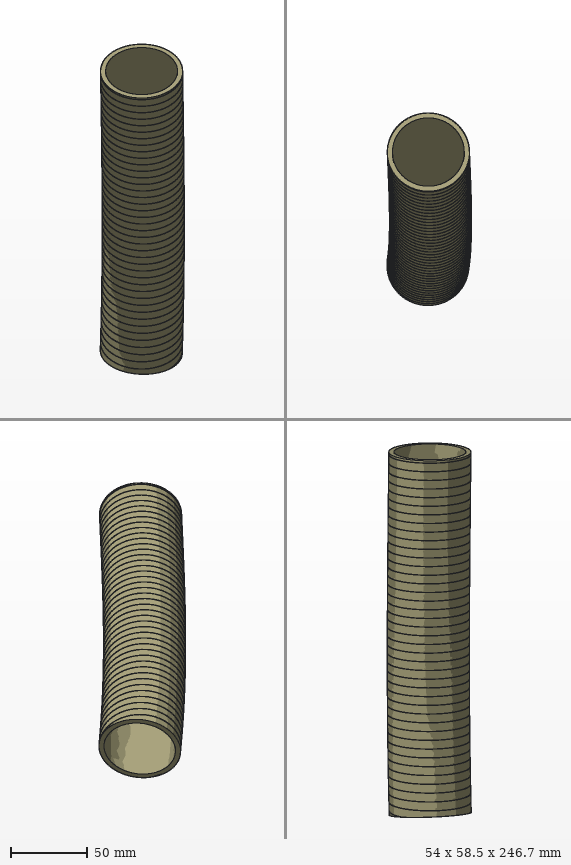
import cadquery as cq

height = 246.7
outer_dia = 54.0
wall = 3.5
bore_dia = outer_dia - 2 * wall

top_y = 0.0
bottom_y = -1.2
top_slope = -0.04
bottom_slope = 0.105

groove_count = 42
top_groove_z = height - 1.6
bottom_groove_z = 5.7
groove_width = 0.2
groove_depth = 0.12

bottom_tilt = 7.9

loft_sections = 9
overrun = 12.3


def centre_y(z):
    """Cubic centreline that meets the end positions and end slopes."""
    t = z / height
    rise = top_y - bottom_y
    bottom_bend = bottom_slope * height - rise
    top_bend = rise - top_slope * height
    return bottom_y + rise * t + t * (1 - t) * (bottom_bend * (1 - t) + top_bend * t)


def bowed_rod(diameter):
    """Rod with level circular sections that follows the centreline past the bottom end."""
    step = (height + overrun) / (loft_sections - 1)
    levels = [height - i * step for i in range(loft_sections)]
    up = cq.Vector(0, 0, 1)
    sections = [
        cq.Wire.makeCircle(diameter / 2, cq.Vector(0, centre_y(z), z), up)
        for z in levels
    ]
    return cq.Workplane(obj=cq.Solid.makeLoft(sections))


def groove_ring(z):
    """Flat ring, centred on height z, that cuts one groove."""
    ring = (
        cq.Workplane("XY", origin=(0, centre_y(z), z - groove_width / 2))
        .circle(outer_dia / 2 + overrun)
        .circle(outer_dia / 2 - groove_depth)
        .extrude(groove_width)
    )
    return ring.val()


def groove_rings():
    pitch = (top_groove_z - bottom_groove_z) / (groove_count - 1)
    rings = [groove_ring(top_groove_z - i * pitch) for i in range(groove_count)]
    return cq.Workplane(obj=cq.Compound.makeCompound(rings))


def bottom_waste():
    """Block below the tilted end, tilted about the lowest point of the tube."""
    size = 3 * outer_dia
    return (
        cq.Workplane("XY")
        .box(size, size, size)
        .translate((0, 0, -size / 2))
        .rotate((0, 0, 0), (1, 0, 0), -bottom_tilt)
        .translate((0, centre_y(0) + outer_dia / 2, 0))
    )


grooved_rod = bowed_rod(outer_dia).cut(groove_rings())
tube = grooved_rod.cut(bowed_rod(bore_dia))
result = tube.cut(bottom_waste()).solids()